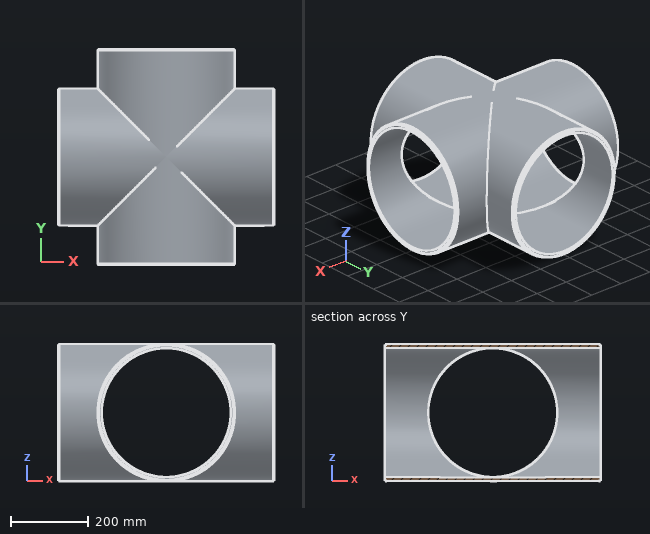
import cadquery as cq

outer_diameter = 355.6
wall = 11.13
end_to_end = 558.8

bevel = wall / 3

outer_radius = outer_diameter / 2
inner_radius = outer_radius - wall


def rod_along_x(radius):
    """Solid cylinder along X, centred on the origin, of the full length."""
    return cq.Workplane("YZ").circle(radius).extrude(end_to_end / 2, both=True)


def crossed(run):
    """Join a body along X with its copy turned to lie along Y."""
    return run.union(run.rotate((0, 0, 0), (0, 0, 1), 90))


pipe_blank = rod_along_x(outer_radius).faces("<X or >X").chamfer(bevel)
body = crossed(pipe_blank)

bores = crossed(rod_along_x(inner_radius))

result = body.cut(bores)